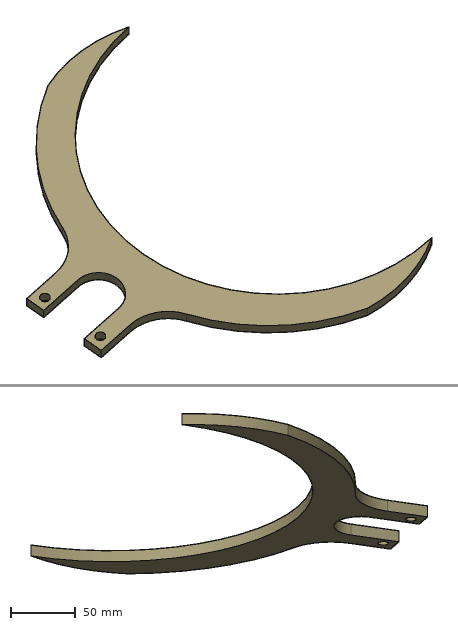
import cadquery as cq
import math

overall_width = 337.0
overall_length = 252.0
thickness = 9.0

inner_radius = 156.0
mouth_bottom_y = 92.3
outer_radius = 179.2
outer_center_y = 237.8
shoulder_y = 167.0

fork_half_width = 38.5
slot_radius = 21.0
slot_top_y = 61.0
fillet_radius = 39.5
hole_diameter = 8.0
hole_x = 28.5
hole_y = 10.0

tip = (inner_radius, overall_length)
mouth_bottom = (0, mouth_bottom_y)

shoulder_x = math.sqrt(outer_radius**2 - (shoulder_y - outer_center_y) ** 2)
shoulder = (shoulder_x, shoulder_y)

tip_inset = overall_width / 2 - tip[0]
shoulder_inset = overall_width / 2 - shoulder_x
square_term = shoulder_inset - tip_inset
half_linear_term = shoulder_inset * overall_length - tip_inset * shoulder_y
constant_term = (
    shoulder_inset * overall_length**2
    - tip_inset * shoulder_y**2
    - tip_inset * shoulder_inset * square_term
)
root = math.sqrt(half_linear_term**2 - square_term * constant_term)
tip_arc_center_y = (half_linear_term - root) / square_term
widest = (overall_width / 2, tip_arc_center_y)

fillet_x = fork_half_width + fillet_radius
center_distance = outer_radius + fillet_radius
fillet_y = outer_center_y - math.sqrt(center_distance**2 - fillet_x**2)
fillet_angle = math.atan2(fillet_y - outer_center_y, fillet_x)
fillet_start = (
    outer_radius * math.cos(fillet_angle),
    outer_center_y + outer_radius * math.sin(fillet_angle),
)
fillet_end = (fork_half_width, fillet_y)
fillet_mid_angle = fillet_angle / 2 + math.pi
fillet_mid = (
    fillet_x + fillet_radius * math.cos(fillet_mid_angle),
    fillet_y + fillet_radius * math.sin(fillet_mid_angle),
)

shoulder_angle = math.atan2(shoulder_y - outer_center_y, shoulder_x)
outer_mid_angle = (shoulder_angle + fillet_angle) / 2
outer_mid = (
    outer_radius * math.cos(outer_mid_angle),
    outer_center_y + outer_radius * math.sin(outer_mid_angle),
)


def mirrored(point):
    """Return the matching point on the -X side."""
    return (-point[0], point[1])


def make_plate():
    """Crescent with a solid stem, symmetric about the YZ plane."""
    return (
        cq.Workplane("XY")
        .moveTo(*tip)
        .threePointArc(widest, shoulder)
        .threePointArc(outer_mid, fillet_start)
        .threePointArc(fillet_mid, fillet_end)
        .lineTo(fork_half_width, 0)
        .lineTo(-fork_half_width, 0)
        .lineTo(*mirrored(fillet_end))
        .threePointArc(mirrored(fillet_mid), mirrored(fillet_start))
        .threePointArc(mirrored(outer_mid), mirrored(shoulder))
        .threePointArc(mirrored(widest), mirrored(tip))
        .threePointArc(mouth_bottom, tip)
        .close()
        .extrude(thickness)
    )


def make_slot():
    """Round-ended slot, open at the bottom, that splits the stem into two prongs."""
    slot_side_top = slot_top_y - slot_radius
    return (
        cq.Workplane("XY")
        .moveTo(-slot_radius, 0)
        .lineTo(-slot_radius, slot_side_top)
        .threePointArc((0, slot_top_y), (slot_radius, slot_side_top))
        .lineTo(slot_radius, 0)
        .close()
        .extrude(thickness)
    )


def make_holes():
    """One mounting hole through each prong."""
    return (
        cq.Workplane("XY")
        .pushPoints([(-hole_x, hole_y), (hole_x, hole_y)])
        .circle(hole_diameter / 2)
        .extrude(thickness)
    )


result = make_plate().cut(make_slot()).cut(make_holes())